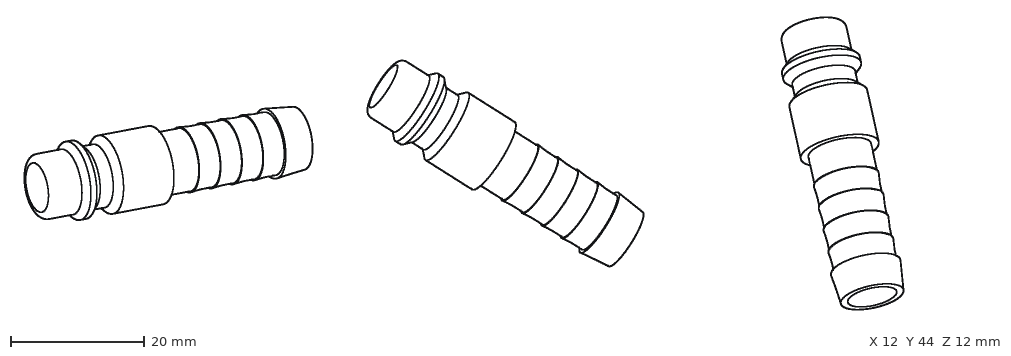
import cadquery as cq

total_length = 44.0
bore_radius = 7.5 / 2

nose_radius = 10.0 / 2
nose_length = 5.0
nose_fillet = 1.0

collar_radius = 12.0 / 2
groove_radius = 9.7 / 2
ring_land = 1.0
groove_width = 2.2
collar_end = 20.0

tail_radius = 9.65 / 2
end_barb_radius = 10.7 / 2
end_barb_length = 4.8
rib_radius = 10.0 / 2
rib_length = 1.8
rib_gap = 1.8
rib_pitch = rib_length + rib_gap
rib_count = 4

nose_flank = collar_radius - nose_radius
groove_flank = collar_radius - groove_radius
ring_start = nose_length + nose_flank
ring_end = ring_start + ring_land
groove_start = ring_end + groove_flank
groove_end = groove_start + groove_width
collar_start = groove_end + groove_flank


def revolve_profile(profile):
    """Turn a closed (radius, Y) outline about the Y axis."""
    return profile.close().revolve(360, (0, 0, 0), (0, 1, 0))


def make_plug():
    profile = (
        cq.Workplane("XY")
        .lineTo(nose_radius - nose_fillet, 0)
        .radiusArc((nose_radius, nose_fillet), -nose_fillet)
        .lineTo(nose_radius, nose_length)
        .lineTo(collar_radius, ring_start)
        .lineTo(collar_radius, ring_end)
        .lineTo(groove_radius, groove_start)
        .lineTo(groove_radius, groove_end)
        .lineTo(collar_radius, collar_start)
        .lineTo(collar_radius, collar_end)
        .lineTo(0, collar_end)
    )
    return revolve_profile(profile)


def make_barb(large_radius, length, tip_position):
    """Cone that widens from the tail radius at its tip towards the collar."""
    profile = (
        cq.Workplane("XY")
        .moveTo(0, tip_position)
        .lineTo(tail_radius, tip_position)
        .lineTo(large_radius, tip_position - length)
        .lineTo(0, tip_position - length)
    )
    return revolve_profile(profile)


def make_tail():
    profile = (
        cq.Workplane("XY")
        .moveTo(0, collar_end)
        .lineTo(tail_radius, collar_end)
        .lineTo(tail_radius, total_length)
        .lineTo(0, total_length)
    )
    tail = revolve_profile(profile)
    tail = tail.union(make_barb(end_barb_radius, end_barb_length, total_length))
    first_rib_tip = total_length - end_barb_length - rib_gap
    for index in range(rib_count):
        rib = make_barb(rib_radius, rib_length, first_rib_tip - index * rib_pitch)
        tail = tail.union(rib)
    return tail


def make_bore():
    profile = (
        cq.Workplane("XY")
        .lineTo(bore_radius, 0)
        .lineTo(bore_radius, total_length)
        .lineTo(0, total_length)
    )
    return revolve_profile(profile)


result = make_plug().union(make_tail()).cut(make_bore())